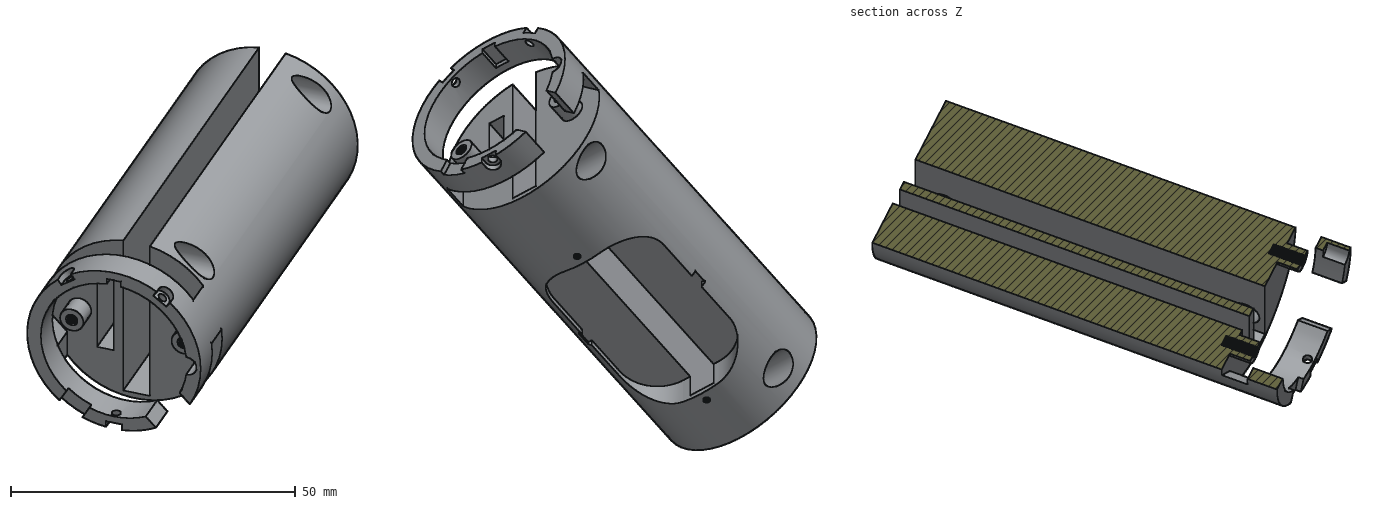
import cadquery as cq
import math

OUTER_RADIUS = 32.7 / 2
TOTAL_LENGTH = 77.7
RING_LENGTH = 5.7
RING_INNER_RADIUS = 13.75
GAP_LENGTH = 4.9
BODY_FRONT = RING_LENGTH + GAP_LENGTH
BODY_LENGTH = TOTAL_LENGTH - BODY_FRONT
OVERCUT = 1.0

BRIDGE_FACE_DISTANCE = 12.8
BRIDGE_FACE_ANGLES = (0, 45)

SLOT_WIDTH = 5.0
SLOT_CENTER_X = 0.25
SLOT_FLOOR_Z = -15.2

CHANNEL_WIDTH = 3.1
CHANNEL_HEIGHT = 16.0
CHANNEL_CENTER_X = -5.65
CHANNEL_CENTER_Z = 0.8

WINDOW_CENTER_Y = 47.3
WINDOW_LENGTH = 36.4
WINDOW_WIDTH = 23.5
WINDOW_CORNER_RADIUS = 8.0
WINDOW_ROOF_Z = -10.0
WINDOW_NOTCH_LENGTH = 3.0
WINDOW_NOTCH_WIDTH = 25.0

FLOOR_THREAD_MINOR = 0.97
FLOOR_THREAD_MAJOR = 1.25
FLOOR_THREAD_PITCH = 0.25
FLOOR_HOLE_SPACING = 40.0

CROSS_HOLE_DIAMETER = 5.5
UPPER_CROSS_HOLE_Z = 12.45
LOWER_CROSS_HOLE_Z = -10.75
CROSS_HOLE_YS = (14.4, 72.2)

BOSS_DIAMETER = 4.4
BOSS_LENGTH = 3.9
BOSS_X = 10.5
BOSS_THREAD_MINOR = 1.62
BOSS_THREAD_MAJOR = 2.17
BOSS_THREAD_PITCH = 0.4
BOSS_THREAD_TURNS = 15

SEAT_ANGLES = (55, 125, 270)
SEAT_WIDTH = 3.0
SEAT_FLOOR_RADIUS = 15.1
SEAT_CENTER_Y = 1.25
SEAT_HOLE_DIAMETER = 1.62

OPENING_ANGLE = -45
OPENING_WIDTH = 9.0
FACE_NOTCH_ANGLE = 240
FACE_NOTCH_WIDTH = 5.0
FACE_NOTCH_DEPTH = 1.0
KEYWAY_WIDTH = 2.67
KEYWAY_TOP_Z = 14.75
RECESS_DEPTH = 4.2
SIDE_RECESS_DIAMETER = 3.6


def cylinder_y(diameter, length, x, y, z):
    """Cylinder along +Y starting at the given point."""
    return cq.Workplane(cq.Solid.makeCylinder(diameter / 2, length, cq.Vector(x, y, z), cq.Vector(0, 1, 0)))


def box(x_range, y_range, z_range):
    """Box spanning the given coordinate ranges."""
    low = cq.Vector(x_range[0], y_range[0], z_range[0])
    size = (x_range[1] - x_range[0], y_range[1] - y_range[0], z_range[1] - z_range[0])
    return cq.Workplane(cq.Solid.makeBox(*size, low))


def turned_to(shape, angle):
    """Turn a cutter built along +X about the tube axis, counter-clockwise from +X towards +Z."""
    return shape.rotate((0, 0, 0), (0, 1, 0), -angle)


def threaded_hole(minor, major, pitch, turns):
    """Cutter along +Y from the origin; the thread is a stack of V-shaped ring grooves."""
    profile = cq.Workplane("XY").lineTo(major / 2, 0)
    for turn in range(turns):
        profile = profile.lineTo(minor / 2, (turn + 0.5) * pitch)
        profile = profile.lineTo(major / 2, (turn + 1) * pitch)
    return profile.lineTo(0, turns * pitch).close().revolve(360, (0, 0, 0), (0, 1, 0))


def make_body():
    body = cylinder_y(2 * OUTER_RADIUS, BODY_LENGTH, 0, BODY_FRONT, 0)
    return body.cut(main_slot()).cut(channel()).cut(window()).cut(floor_holes()).cut(cross_holes())


def main_slot():
    half = SLOT_WIDTH / 2
    return box(
        (SLOT_CENTER_X - half, SLOT_CENTER_X + half),
        (BODY_FRONT - OVERCUT, TOTAL_LENGTH + OVERCUT),
        (SLOT_FLOOR_Z, OUTER_RADIUS + OVERCUT),
    )


def channel():
    half_width = CHANNEL_WIDTH / 2
    half_height = CHANNEL_HEIGHT / 2
    return box(
        (CHANNEL_CENTER_X - half_width, CHANNEL_CENTER_X + half_width),
        (BODY_FRONT - OVERCUT, TOTAL_LENGTH + OVERCUT),
        (CHANNEL_CENTER_Z - half_height, CHANNEL_CENTER_Z + half_height),
    )


def window():
    bottom = -OUTER_RADIUS - OVERCUT
    depth = WINDOW_ROOF_Z - bottom
    plane = cq.Workplane("XY", origin=(0, WINDOW_CENTER_Y, bottom))
    opening = plane.rect(WINDOW_WIDTH, WINDOW_LENGTH).extrude(depth).edges("|Z").fillet(WINDOW_CORNER_RADIUS)
    notches = plane.rect(WINDOW_NOTCH_WIDTH, WINDOW_NOTCH_LENGTH).extrude(depth)
    return opening.union(notches)


def floor_holes():
    floor_thickness = SLOT_FLOOR_Z + OUTER_RADIUS
    turns = math.ceil(floor_thickness / FLOOR_THREAD_PITCH)
    hole = threaded_hole(FLOOR_THREAD_MINOR, FLOOR_THREAD_MAJOR, FLOOR_THREAD_PITCH, turns)
    hole = hole.rotate((0, 0, 0), (1, 0, 0), -90)
    half = FLOOR_HOLE_SPACING / 2
    front = hole.translate((0, WINDOW_CENTER_Y - half, SLOT_FLOOR_Z))
    return front.union(front.translate((0, FLOOR_HOLE_SPACING, 0)))


def cross_holes():
    points = [(y, z) for y in CROSS_HOLE_YS for z in (LOWER_CROSS_HOLE_Z, UPPER_CROSS_HOLE_Z)]
    plane = cq.Workplane("YZ", origin=(SLOT_CENTER_X, 0, 0))
    return plane.pushPoints(points).circle(CROSS_HOLE_DIAMETER / 2).extrude(OUTER_RADIUS)


def add_bosses(part):
    tip = BODY_FRONT - BOSS_LENGTH
    thread = threaded_hole(BOSS_THREAD_MINOR, BOSS_THREAD_MAJOR, BOSS_THREAD_PITCH, BOSS_THREAD_TURNS)
    for x in (-BOSS_X, BOSS_X):
        part = part.union(cylinder_y(BOSS_DIAMETER, BOSS_LENGTH, x, tip, 0))
        part = part.cut(thread.translate((x, tip, 0)))
    return part


def make_bridges():
    """Opposite segments of the tube, each left standing between two flat faces."""
    y_range = (RING_LENGTH, BODY_FRONT)
    side = (-OUTER_RADIUS, OUTER_RADIUS)
    right = cylinder_y(2 * OUTER_RADIUS, GAP_LENGTH, 0, RING_LENGTH, 0)
    for angle in BRIDGE_FACE_ANGLES:
        right = right.intersect(turned_to(box((BRIDGE_FACE_DISTANCE, OUTER_RADIUS), y_range, side), angle))
    return right.union(right.rotate((0, 0, 0), (0, 1, 0), 180))


def make_ring():
    ring = cylinder_y(2 * OUTER_RADIUS, RING_LENGTH, 0, 0, 0)
    ring = ring.cut(cylinder_y(2 * RING_INNER_RADIUS, RING_LENGTH, 0, 0, 0))
    ring = ring.cut(ring_opening()).cut(face_notch()).cut(keyway()).cut(side_recess())
    for angle in SEAT_ANGLES:
        ring = ring.cut(turned_to(screw_seat(), angle))
    return ring


def ring_opening():
    half = OPENING_WIDTH / 2
    slab = box((0, OUTER_RADIUS + OVERCUT), (-OVERCUT, RING_LENGTH + OVERCUT), (-half, half))
    return turned_to(slab, OPENING_ANGLE)


def face_notch():
    half = FACE_NOTCH_WIDTH / 2
    slab = box((0, OUTER_RADIUS + OVERCUT), (-OVERCUT, FACE_NOTCH_DEPTH), (-half, half))
    return turned_to(slab, FACE_NOTCH_ANGLE)


def keyway():
    half = KEYWAY_WIDTH / 2
    return box((-half, half), (-OVERCUT, RECESS_DEPTH), (0, KEYWAY_TOP_Z))


def side_recess():
    return cylinder_y(SIDE_RECESS_DIAMETER, RECESS_DEPTH, RING_INNER_RADIUS, 0, 0)


def screw_seat():
    """Seat along +X: a round-ended pocket open to the ring front, with a through hole."""
    half = SEAT_WIDTH / 2
    plane = cq.Workplane("YZ", origin=(SEAT_FLOOR_RADIUS, SEAT_CENTER_Y, 0))
    depth = OUTER_RADIUS - SEAT_FLOOR_RADIUS + OVERCUT
    head = plane.circle(half).extrude(depth)
    mouth = box((SEAT_FLOOR_RADIUS, SEAT_FLOOR_RADIUS + depth), (-OVERCUT, SEAT_CENTER_Y), (-half, half))
    hole = cq.Workplane("YZ", origin=(0, SEAT_CENTER_Y, 0)).circle(SEAT_HOLE_DIAMETER / 2).extrude(OUTER_RADIUS)
    return head.union(mouth).union(hole)


result = add_bosses(make_body().union(make_bridges()).union(make_ring()))